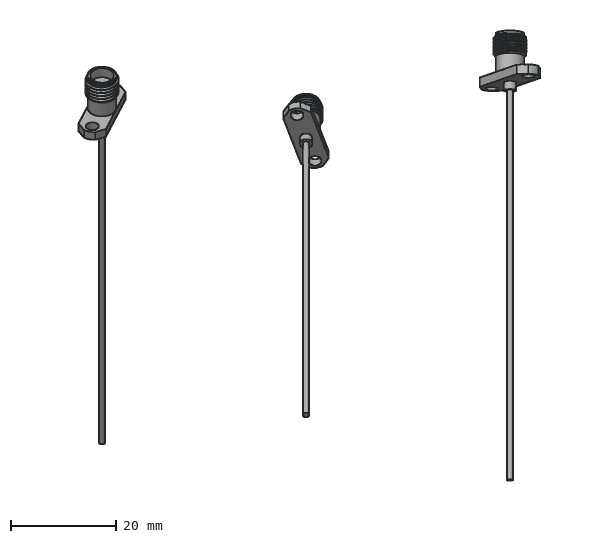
import cadquery as cq

total_height = 87.4

barrel_radius = 2.75
thread_radius = 3.19
thread_pitch = 0.7
thread_top_depth = 0.35
thread_length = 4.2
thread_start_angle = 130
thread_root_width = 0.6
thread_crest_width = 0.1
thread_root_overlap = 0.1
envelope_clearance = 0.3

bore_radius = 2.3
bore_depth = 2.2
socket_radius = 0.35
socket_depth = 1.9

flange_top = total_height - 7.7
flange_thickness = 1.8
flange_width = 2 * barrel_radius
flange_length = 15.9
hole_spacing = 12.2
hole_diameter = 2.45
tip_half_width = 1.1
shoulder_y = 6.1

collar_radius = 1.18
collar_length = 1.6
cable_radius = 0.6

bore_floor = total_height - bore_depth
flange_bottom = flange_top - flange_thickness
collar_bottom = flange_bottom - collar_length


def cylinder(radius, bottom, top):
    return cq.Workplane("XY").workplane(offset=bottom).circle(radius).extrude(top - bottom)


def make_thread():
    """Helical ridge of trapezoid section, fading into the barrel at both ends."""
    root_radius = barrel_radius - thread_root_overlap
    path_height = thread_length + thread_pitch
    thread_top = total_height - thread_top_depth
    thread_bottom = thread_top - thread_length
    helix = cq.Wire.makeHelix(thread_pitch, path_height, root_radius)
    section = cq.Workplane("XZ").polyline([
        (root_radius, -thread_root_width / 2),
        (thread_radius, -thread_crest_width / 2),
        (thread_radius, thread_crest_width / 2),
        (root_radius, thread_root_width / 2),
    ]).close()
    ridge = section.sweep(cq.Workplane(obj=helix), isFrenet=True)
    ridge = ridge.rotate((0, 0, 0), (0, 0, 1), thread_start_angle)
    ridge = ridge.translate((0, 0, thread_bottom - thread_pitch / 2))
    envelope_radius = thread_radius + envelope_clearance
    taper = envelope_radius - barrel_radius + thread_root_overlap
    envelope = cylinder(envelope_radius, thread_bottom, thread_top)
    envelope = envelope.faces("<Z or >Z").chamfer(taper)
    return ridge.intersect(envelope)


def make_flange():
    """Plate with corners cut away at each end, leaving a narrow, slightly rounded tip."""
    half_width = flange_width / 2
    half_length = flange_length / 2
    hole_y = hole_spacing / 2
    tip_y = shoulder_y + half_width - tip_half_width
    plate = (
        cq.Workplane("XY").workplane(offset=flange_bottom)
        .moveTo(half_width, -shoulder_y)
        .lineTo(half_width, shoulder_y)
        .lineTo(tip_half_width, tip_y)
        .threePointArc((0, half_length), (-tip_half_width, tip_y))
        .lineTo(-half_width, shoulder_y)
        .lineTo(-half_width, -shoulder_y)
        .lineTo(-tip_half_width, -tip_y)
        .threePointArc((0, -half_length), (tip_half_width, -tip_y))
        .close()
        .extrude(flange_thickness)
    )
    holes = (
        cq.Workplane("XY").workplane(offset=flange_bottom)
        .pushPoints([(0, hole_y), (0, -hole_y)])
        .circle(hole_diameter / 2)
        .extrude(flange_thickness)
    )
    return plate.cut(holes)


def make_connector():
    barrel = cylinder(barrel_radius, flange_top, total_height)
    collar = cylinder(collar_radius, collar_bottom, flange_bottom)
    bore = cylinder(bore_radius, bore_floor, total_height)
    cable_hole = cylinder(cable_radius, collar_bottom, bore_floor)
    body = barrel.union(make_thread()).union(make_flange()).union(collar)
    return body.cut(bore).cut(cable_hole)


def make_cable():
    """Straight cable ending flush with the bore floor, with a contact socket in its end."""
    socket = cylinder(socket_radius, bore_floor - socket_depth, bore_floor)
    return cylinder(cable_radius, 0, bore_floor).cut(socket)


connector = make_connector()
cable = make_cable()

result = cq.Compound.makeCompound([connector.val(), cable.val()])